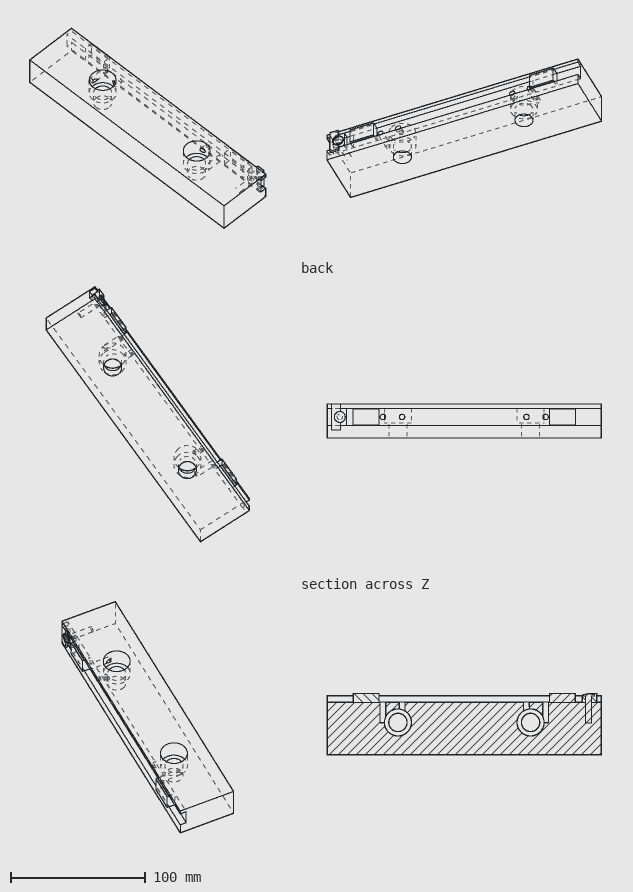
import cadquery as cq
import math

jaw_length = 203.2
jaw_width = 43.9
jaw_height = 25.5

mount_offset_x = 49.2
mount_y = 24.0
mount_radius = 6.7
counterbore_radius = 10.0
counterbore_depth = 14.2

slot_depth = 4.9
slot_top_gap = 3.3
slot_height = 12.8
slot_floor_y = jaw_width - slot_depth
slot_z = -(slot_top_gap + slot_height / 2)

screw_radius = 2.0
inner_hole_offset_x = 46.1
outer_hole_offset_x = 60.4
screw_hole_depth = 15.2

grip_offset_x = 72.7
grip_width = 19.0
overhang = 1.6
lip_land = 0.6
lip_step = 0.5
lip_flare = 0.2

stop_right_x = 98.3
stop_base_width = 11.0
stop_plate_width = 6.5
stop_plate_height = 2 * -slot_z

stop_screw_x = 92.3
button_head_radius = 4.0
button_rim_height = 0.8
button_head_height = 1.5


def block(x_center, width, y_start, y_end, z_top, z_bottom):
    """Box given by its centre and width in X and its limits in Y and Z."""
    return (
        cq.Workplane("XY", origin=(x_center, (y_start + y_end) / 2, z_bottom))
        .rect(width, y_end - y_start)
        .extrude(z_top - z_bottom)
    )


def slot_key(x_center, width):
    """Block that fills the slot from its floor to the back face of the jaw."""
    half_height = slot_height / 2
    return block(x_center, width, slot_floor_y, jaw_width, slot_z + half_height, slot_z - half_height)


def slot_cylinder(x, radius, y_start, y_end):
    """Cylinder along Y at the mid-height of the slot."""
    start = cq.Vector(x, y_start, slot_z)
    return cq.Workplane(cq.Solid.makeCylinder(radius, y_end - y_start, start, cq.Vector(0, 1, 0)))


def make_jaw():
    jaw = block(0, jaw_length, 0, jaw_width, 0, -jaw_height)
    jaw = (
        jaw.faces(">Z")
        .workplane(origin=(0, 0, 0))
        .pushPoints([(-mount_offset_x, mount_y), (mount_offset_x, mount_y)])
        .cboreHole(2 * mount_radius, 2 * counterbore_radius, counterbore_depth)
    )
    jaw = jaw.cut(slot_key(0, jaw_length))
    hole_offsets = (inner_hole_offset_x, outer_hole_offset_x)
    hole_xs = [side * offset for offset in hole_offsets for side in (-1, 1)]
    for x in [*hole_xs, stop_screw_x]:
        jaw = jaw.cut(slot_cylinder(x, screw_radius, slot_floor_y - screw_hole_depth, slot_floor_y))
    return jaw


def make_grip(x):
    """Key and flared lip, drawn in the YZ plane as half an outline and mirrored about the slot axis."""
    key_half = slot_height / 2
    neck_half = key_half - lip_step
    tip_half = neck_half + lip_flare
    tip_y = jaw_width + overhang
    upper_half = [
        (slot_floor_y, key_half),
        (jaw_width, key_half),
        (jaw_width, neck_half),
        (tip_y - lip_land, tip_half),
        (tip_y, tip_half),
    ]
    lower_half = [(y, -z) for y, z in reversed(upper_half)]
    return (
        cq.Workplane("YZ", origin=(x - grip_width / 2, 0, slot_z))
        .polyline(upper_half + lower_half)
        .close()
        .extrude(grip_width)
    )


def make_stop():
    """Base and plate, with a hole for the screw shank and a round clearance for its head."""
    base = slot_key(stop_right_x - stop_base_width / 2, stop_base_width)
    plate_x = stop_right_x - stop_plate_width / 2
    plate_back = jaw_width + overhang
    plate = block(plate_x, stop_plate_width, jaw_width, plate_back, 0, -stop_plate_height)
    stop = base.union(plate)
    stop = stop.cut(slot_cylinder(stop_screw_x, screw_radius, slot_floor_y, jaw_width))
    return stop.cut(slot_cylinder(stop_screw_x, button_head_radius, jaw_width, plate_back))


def make_stop_screw():
    """Shank with a domed head, revolved about the screw axis."""
    shank_end = -(slot_depth + screw_hole_depth)
    dome_height = button_head_height - button_rim_height
    dome_radius = (button_head_radius**2 + dome_height**2) / (2 * dome_height)
    middle_x = button_head_radius / 2
    middle_y = button_head_height - dome_radius + math.sqrt(dome_radius**2 - middle_x**2)
    return (
        cq.Workplane("XY", origin=(stop_screw_x, jaw_width, slot_z))
        .moveTo(0, shank_end)
        .lineTo(screw_radius, shank_end)
        .lineTo(screw_radius, 0)
        .lineTo(button_head_radius, 0)
        .lineTo(button_head_radius, button_rim_height)
        .threePointArc((middle_x, middle_y), (0, button_head_height))
        .close()
        .revolve(360, (0, 0), (0, 1))
    )


jaw = make_jaw()
grips = [make_grip(side * grip_offset_x) for side in (-1, 1)]
stop = make_stop()
stop_screw = make_stop_screw()

result = cq.Compound.makeCompound([jaw.val(), *[grip.val() for grip in grips], stop.val(), stop_screw.val()])